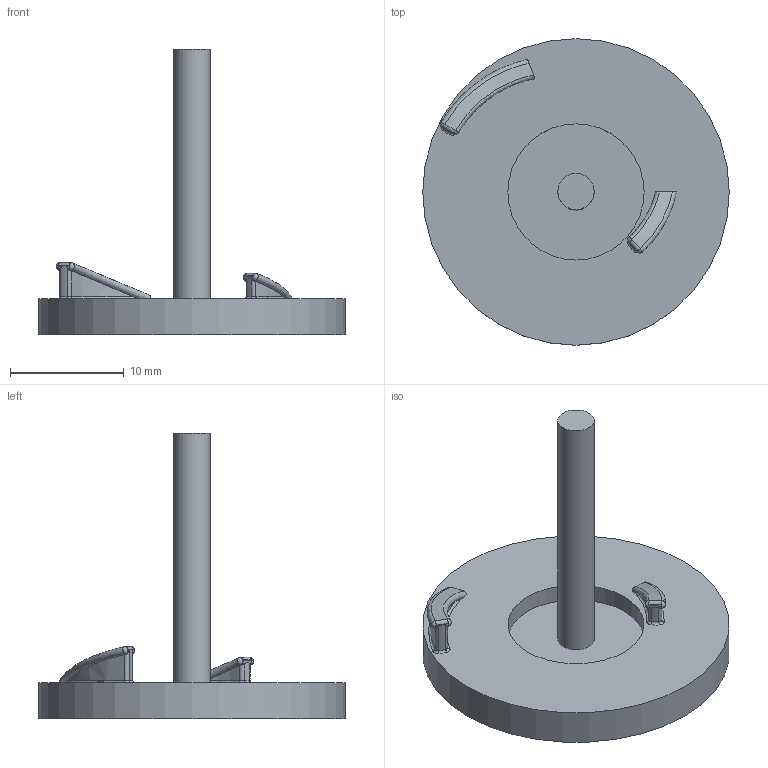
import math

import cadquery as cq

DISC_DIAMETER = 27.0
DISC_HEIGHT = 3.18
SHAFT_DIAMETER = 3.2
SHAFT_RISE = 22.0
RECESS_DIAMETER = 12.0
RECESS_DEPTH = 1.6

BAND_WIDTH = 1.8
BAND_THICKNESS = 0.7
BAND_END_FILLET = 0.3
WALL_WIDTH = 1.15
WALL_CORNER_FILLET = 0.3
WALL_FOOT_FILLET = 0.2
WALL_END_BULGE = 0.1
WALL_LOW_GAP = 0.6

OVERRUN_ANGLE = 12.0
LEAD_ANGLE = 6.0
GUIDE_LIFT = 5.0
PATH_INTERVALS = 24

RAMPS = [
    {
        "center": (-1.67, 0.08),
        "radius": 10.98,
        "high_angle": 150.8,
        "low_angle": 102.0,
        "cut_angle": 110.0,
        "climb_direction": 180.0,
        "high_rise": 3.25,
        "low_rise": 0.37,
    },
    {
        "center": (-0.9, 2.0),
        "radius": 9.05,
        "high_angle": -48.7,
        "low_angle": -12.8,
        "cut_angle": 0.0,
        "climb_direction": -90.0,
        "high_rise": 2.32,
        "low_rise": 0.35,
    },
]


def arc_point(ramp, angle, radius):
    """Plan position at an angle on an arc about the ramp center."""
    center_x, center_y = ramp["center"]
    turn = math.radians(angle)
    return center_x + radius * math.cos(turn), center_y + radius * math.sin(turn)


def descent_sign(ramp):
    """+1 when the ramp descends counter-clockwise, -1 when clockwise."""
    return math.copysign(1, ramp["low_angle"] - ramp["high_angle"])


def top_point(ramp, angle):
    """Point on the centerline of the ramp top."""
    climb = math.radians(ramp["climb_direction"])

    def distance_along_climb(at_angle):
        x, y = arc_point(ramp, at_angle, ramp["radius"])
        return x * math.cos(climb) + y * math.sin(climb)

    low = distance_along_climb(ramp["low_angle"])
    high = distance_along_climb(ramp["high_angle"])
    share = (distance_along_climb(angle) - low) / (high - low)
    rise = ramp["low_rise"] + share * (ramp["high_rise"] - ramp["low_rise"])
    return cq.Vector(*arc_point(ramp, angle, ramp["radius"]), DISC_HEIGHT + rise)


def top_path(ramp, start_angle):
    """Centerline of the ramp top, from start_angle to past the low end."""
    end_angle = ramp["low_angle"] + descent_sign(ramp) * OVERRUN_ANGLE

    def point(share):
        return top_point(ramp, start_angle + share * (end_angle - start_angle)).toTuple()

    return cq.Workplane("XY").parametricCurve(point, N=PATH_INTERVALS)


def section_plane(ramp, angle):
    """Plane square to the ramp top: local x is level across the ramp, local y is up."""
    turn = math.radians(angle)
    across = cq.Vector(math.cos(turn), math.sin(turn), 0)
    downhill = top_path(ramp, angle).val().tangentAt(0)
    normal = downhill * -descent_sign(ramp)
    return cq.Plane(origin=top_point(ramp, angle), xDir=across, normal=normal)


def sweep_down(ramp, section, start_angle):
    """Sweep a section along the ramp top while keeping it level across the ramp."""
    guide = top_path(ramp, start_angle).translate((0, 0, GUIDE_LIFT))
    return section.sweep(top_path(ramp, start_angle), auxSpine=guide)


def make_band(ramp):
    """Round-edged band whose top face is the ramp surface."""
    plane = section_plane(ramp, ramp["high_angle"])
    section_center = (0, -BAND_THICKNESS / 2)
    outline = cq.Sketch().slot(BAND_WIDTH - BAND_THICKNESS, BAND_THICKNESS)
    section = cq.Workplane(plane).center(*section_center).placeSketch(outline)
    band = sweep_down(ramp, section, ramp["high_angle"])

    high_end = cq.selectors.NearestToPointSelector(plane.toWorldCoords(section_center))
    band = band.faces(high_end).edges().fillet(BAND_END_FILLET)

    cut_width = DISC_DIAMETER / 4
    beyond_low_end = (
        cq.Workplane("XY")
        .center(DISC_DIAMETER / 2, descent_sign(ramp) * cut_width / 2)
        .box(DISC_DIAMETER, cut_width, DISC_DIAMETER)
        .rotate((0, 0, 0), (0, 0, 1), ramp["cut_angle"])
    )
    return band.cut(beyond_low_end)


def make_wall_blank(ramp):
    """Upright curved wall of constant height with rounded ends, standing on z = 0."""
    inner = ramp["radius"] - WALL_WIDTH / 2
    outer = ramp["radius"] + WALL_WIDTH / 2
    high = ramp["high_angle"]
    low = ramp["low_angle"] - descent_sign(ramp) * math.degrees(WALL_LOW_GAP / ramp["radius"])
    middle = (high + low) / 2
    crown = high - descent_sign(ramp) * math.degrees(WALL_END_BULGE / ramp["radius"])
    return (
        cq.Workplane("XY")
        .moveTo(*arc_point(ramp, high, inner))
        .threePointArc(arc_point(ramp, middle, inner), arc_point(ramp, low, inner))
        .lineTo(*arc_point(ramp, low, outer))
        .threePointArc(arc_point(ramp, middle, outer), arc_point(ramp, high, outer))
        .threePointArc(arc_point(ramp, crown, ramp["radius"]), arc_point(ramp, high, inner))
        .close()
        .extrude(DISC_HEIGHT + ramp["high_rise"])
        .edges("|Z")
        .fillet(WALL_CORNER_FILLET)
    )


def make_wall(ramp):
    """Wall with a fillet around its foot, its top buried at mid-thickness of the band."""
    plate_size = 2 * DISC_DIAMETER
    plate = cq.Workplane("XY").rect(plate_size, plate_size).extrude(DISC_HEIGHT)
    reach = DISC_DIAMETER / 2
    foot_edges = cq.selectors.BoxSelector(
        (-reach, -reach, DISC_HEIGHT - WALL_FOOT_FILLET),
        (reach, reach, DISC_HEIGHT + WALL_FOOT_FILLET),
    )
    wall = plate.union(make_wall_blank(ramp)).edges(foot_edges).fillet(WALL_FOOT_FILLET).cut(plate)

    start_angle = ramp["high_angle"] - descent_sign(ramp) * LEAD_ANGLE
    cut_height = 2 * DISC_HEIGHT
    section = (
        cq.Workplane(section_plane(ramp, start_angle))
        .center(0, (cut_height - BAND_THICKNESS) / 2)
        .rect(2 * BAND_WIDTH, cut_height)
    )
    return wall.cut(sweep_down(ramp, section, start_angle))


def make_base():
    """Disc with the central recess and the shaft."""
    disc = cq.Workplane("XY").circle(DISC_DIAMETER / 2).extrude(DISC_HEIGHT)
    recess = (
        cq.Workplane("XY", origin=(0, 0, DISC_HEIGHT - RECESS_DEPTH))
        .circle(RECESS_DIAMETER / 2)
        .extrude(RECESS_DEPTH)
    )
    shaft = cq.Workplane("XY").circle(SHAFT_DIAMETER / 2).extrude(DISC_HEIGHT + SHAFT_RISE)
    return disc.cut(recess).union(shaft)


result = make_base()
for ramp in RAMPS:
    result = result.union(make_wall(ramp)).union(make_band(ramp))